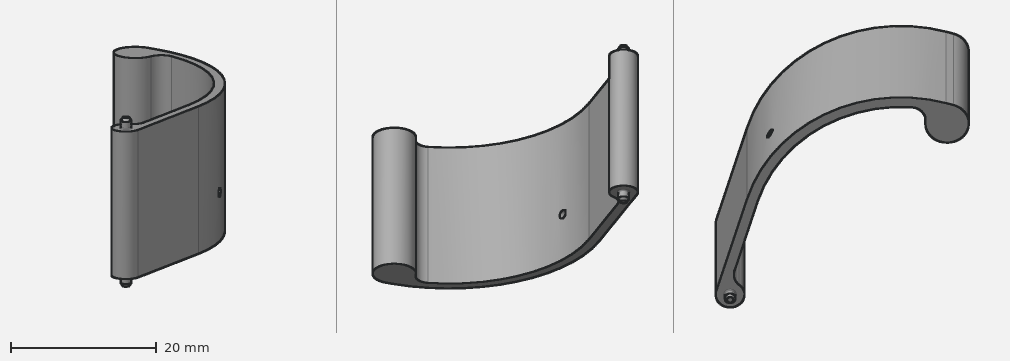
import cadquery as cq
import math

width = 26.0
length = 38.95
overall_height = 24.0
body_height = 21.0
wall = 1.5
outer_bend_radius = 22.0
bead_radius = 3.0
hinge_radius = 2.0
blend_radius = 2.0

pin_radius = 0.75
pin_length = (overall_height - body_height) / 2
pin_chamfer_height = 0.45
pin_chamfer_inset = 0.3
pin_foot_fillet = 0.1

hole_diameter = 1.2
hole_height = 7.0
hole_from_bend_center = 7.05

outer_x = hinge_radius
inner_x = outer_x - wall
top_y = length - hinge_radius
inner_bend_radius = outer_bend_radius - wall
bend_x = outer_x - outer_bend_radius
bend_y = top_y - outer_bend_radius
bead_x = outer_x - width + bead_radius
bead_y = top_y - bead_radius


def point_from(center, radius, angle):
    """Point on a circle at an angle in radians."""
    return (center[0] + radius * math.cos(angle), center[1] + radius * math.sin(angle))


def direction(start, end):
    return math.atan2(end[1] - start[1], end[0] - start[0])


hinge = (0.0, 0.0)
bend = (bend_x, bend_y)
bead = (bead_x, bead_y)

hinge_blend_x = inner_x - blend_radius
hinge_blend_y = math.sqrt((hinge_radius + blend_radius) ** 2 - hinge_blend_x**2)
hinge_blend = (hinge_blend_x, hinge_blend_y)
hinge_tangent_angle = direction(hinge, hinge_blend)
hinge_tangent = point_from(hinge, hinge_radius, hinge_tangent_angle)
hinge_blend_mid = point_from(hinge_blend, blend_radius, (hinge_tangent_angle - math.pi) / 2)

bend_to_blend = inner_bend_radius - blend_radius
bead_to_blend = bead_radius + blend_radius
bend_to_bead = math.dist(bend, bead)
bend_corner_angle = math.acos(
    (bend_to_blend**2 + bend_to_bead**2 - bead_to_blend**2) / (2 * bend_to_blend * bend_to_bead)
)
bend_blend_angle = direction(bend, bead) - bend_corner_angle
bead_blend = point_from(bend, bend_to_blend, bend_blend_angle)
bend_tangent = point_from(bend, inner_bend_radius, bend_blend_angle)
bead_tangent_angle = direction(bead, bead_blend)
bead_tangent = point_from(bead, bead_radius, bead_tangent_angle)
bead_blend_mid = point_from(
    bead_blend, blend_radius, (bend_blend_angle + bead_tangent_angle + math.pi) / 2
)


def make_body():
    """Curved clip with a round bead at one end and a hinge barrel at the other."""
    return (
        cq.Workplane("XY")
        .moveTo(outer_x, 0)
        .lineTo(outer_x, bend_y)
        .threePointArc(point_from(bend, outer_bend_radius, math.pi / 4), (bend_x, top_y))
        .lineTo(bead_x, top_y)
        .threePointArc(point_from(bead, bead_radius, -0.75 * math.pi), bead_tangent)
        .threePointArc(bead_blend_mid, bend_tangent)
        .threePointArc(point_from(bend, inner_bend_radius, bend_blend_angle / 2), (inner_x, bend_y))
        .lineTo(inner_x, hinge_blend_y)
        .threePointArc(hinge_blend_mid, hinge_tangent)
        .threePointArc(point_from(hinge, hinge_radius, -0.75 * math.pi), (outer_x, 0))
        .close()
        .extrude(body_height)
    )


def make_pins():
    """Matching pins above and below the hinge barrel, each with a filleted foot and a chamfered tip."""
    tip_z = body_height + pin_length
    shoulder_z = tip_z - pin_chamfer_height
    tip_radius = pin_radius - pin_chamfer_inset
    foot_radius = pin_radius + pin_foot_fillet
    fillet_center = (foot_radius, body_height + pin_foot_fillet)
    middle_z = body_height / 2
    upper_half = (
        cq.Workplane("XZ")
        .moveTo(0, middle_z)
        .lineTo(foot_radius, middle_z)
        .lineTo(foot_radius, body_height)
        .threePointArc(
            point_from(fillet_center, pin_foot_fillet, -0.75 * math.pi),
            (pin_radius, fillet_center[1]),
        )
        .lineTo(pin_radius, shoulder_z)
        .lineTo(tip_radius, tip_z)
        .lineTo(0, tip_z)
        .close()
        .revolve(360, (0, 0), (0, 1))
    )
    return upper_half.union(upper_half.mirror("XY", (0, 0, middle_z)))


def make_wall_hole():
    """Round hole along X through the curved wall."""
    return (
        cq.Workplane("YZ", origin=(bend_x, bend_y + hole_from_bend_center, hole_height))
        .circle(hole_diameter / 2)
        .extrude(outer_bend_radius)
    )


result = make_body().cut(make_wall_hole()).union(make_pins())